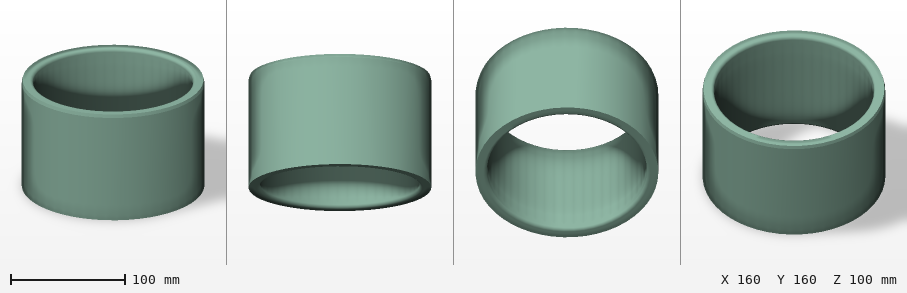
import cadquery as cq
import math

outer_diameter = 160.0
bore_diameter = 140.0
height = 100.0
chamfer_angle = 15.0
chamfer_height = 3.0
bore_edge_radius = 3.0

outer_radius = outer_diameter / 2
bore_radius = bore_diameter / 2
chamfer_width = chamfer_height * math.tan(math.radians(chamfer_angle))


def sleeve():
    """Plain tube standing on the XY plane with its axis on Z."""
    section = (
        cq.Workplane("XZ")
        .moveTo(bore_radius, 0)
        .lineTo(outer_radius, 0)
        .lineTo(outer_radius, height - chamfer_height)
        .lineTo(outer_radius - chamfer_width, height)
        .lineTo(bore_radius, height)
        .close()
    )
    return section.revolve(360, (0, 0, 0), (0, 1, 0))


def round_bore_ends(body):
    """Round both end edges of the bore."""
    bore_edges = cq.selectors.RadiusNthSelector(0)
    return body.edges("%CIRCLE").edges(bore_edges).fillet(bore_edge_radius)


result = round_bore_ends(sleeve())